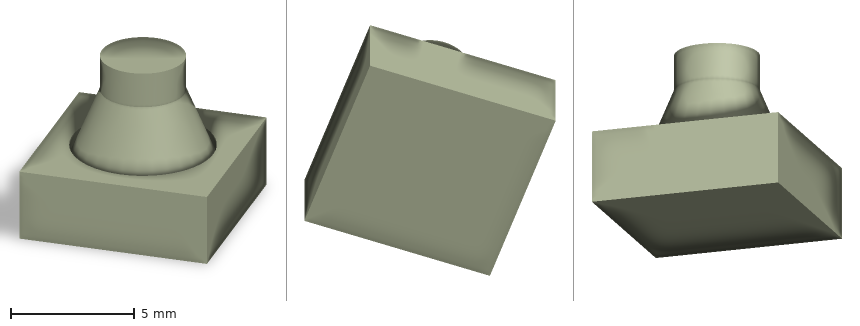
import cadquery as cq

base_side = 8
base_height = 3.0

recess_diameter = 6
recess_depth = 0.5

pin_diameter = 3.5
pin_height = 1.5
total_height = 7.0

recess_floor = base_height - recess_depth
pin_bottom = total_height - pin_height


def make_base():
    """Square block with a round recess in its top face."""
    block = cq.Workplane("XY").rect(base_side, base_side).extrude(base_height)
    recess = (
        cq.Workplane("XY")
        .workplane(offset=recess_floor)
        .circle(recess_diameter / 2)
        .extrude(recess_depth)
    )
    return block.cut(recess)


def make_stem():
    """Cone and pin as one turned profile, standing on the recess floor."""
    return (
        cq.Workplane("XZ")
        .moveTo(0, recess_floor)
        .lineTo(recess_diameter / 2, recess_floor)
        .lineTo(pin_diameter / 2, pin_bottom)
        .lineTo(pin_diameter / 2, total_height)
        .lineTo(0, total_height)
        .close()
        .revolve(360, (0, 0), (0, 1))
    )


result = make_base().union(make_stem())